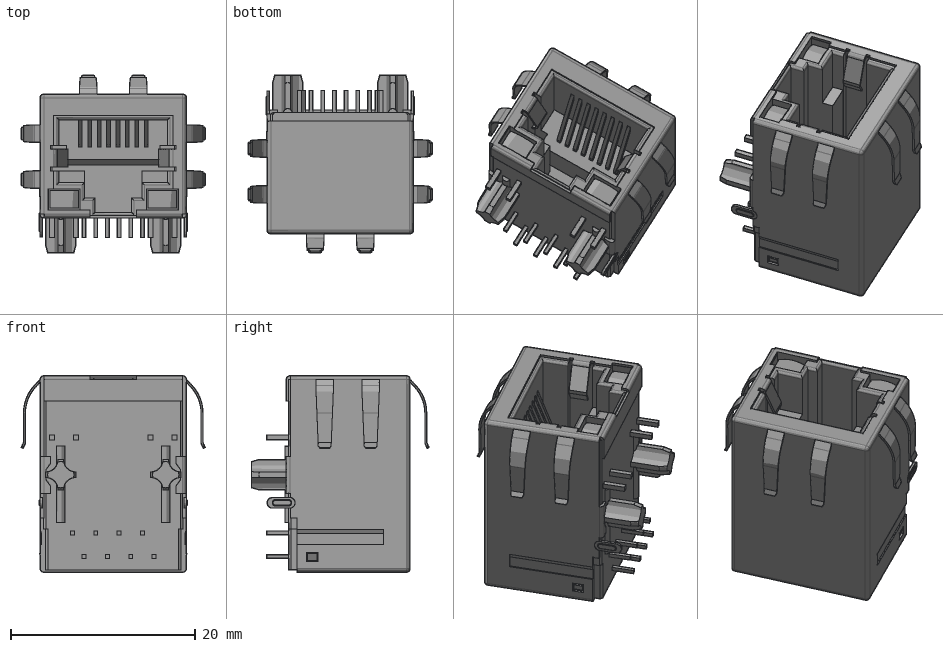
import cadquery as cq
import math


SHELL_HALF_WIDTH = 7.95
SHELL_BACK = 13.2
SHELL_HEIGHT = 21.35
SHELL_FRONT = 0.18
SHELL_GAUGE = 0.25
SHELL_RADIUS = 0.42
LOWER_STEP_Y = 0.93
LOWER_STEP_Z = 5.9
LIP_FRONT = -0.27
LIP_HALF_WIDTH = 7.5
LIP_BOTTOM = 18.6
LIP_NOTCH_HALF_WIDTH = 2.52
LIP_NOTCH_DEPTH = 0.4

RIM_Z = SHELL_HEIGHT - SHELL_GAUGE
HOUSING_BOTTOM = 0.27
UPPER_HALF_WIDTH = 7.58
LOWER_HALF_WIDTH = 7.35
LOWER_TOP = 4.72
HOUSING_CHAMFER = 0.25

CAVITY_HALF_WIDTH = 5.9
CAVITY_BACK = 10.4
LIGHT_WALL_Y = 3.6
LATCH_HALF_WIDTH = 3.1
LATCH_STEP_Y = 1.9
LATCH_TIP_HALF_WIDTH = 2.0
CAVITY_FRONT = 0.35
RIM_RADIUS = 0.27
SHELF_Z = 16.0
SHELF_BACK = 4.83
FLOOR_HIGH = 10.5
FLOOR_LOW = 8.0
FLOOR_SLOPE_BACK = 6.09
FLOOR_SLOPE_FRONT = 5.47

OPENING_HALF_WIDTH = 6.5
OPENING_BACK = 10.88
LIGHT_OPENING_BACK = 2.9
LIGHT_OPENING_FRONT = 0.62
LIGHT_OPENING_OUTER = 7.08

LIGHT_X = (3.62, 7.03)
LIGHT_Y = (0.62, 2.9)
LIGHT_POCKET_DEPTH = 2.0
LIGHT_GAP = 0.18
LIGHT_CROWN_DROP = 0.3
LIGHT_SAG = 0.35

CONTACT_COUNT = 8
CONTACT_PITCH = 1.02
CONTACT_WIDTH = 0.4
CONTACT_TOP_Z = 18.5
CONTACT_TIP_Y = 7.43
CONTACT_TIP_Z = 11.0
CONTACT_THICKNESS = 0.3

SPRING_Y = (5.25, 7.23)
SPRING_SLOT_WIDTH = 0.39
SPRING_SLOT_OUTER = 6.8
SPRING_TIP_X = 4.94
SPRING_TIP_Z = 18.4
SPRING_TIP_HEIGHT = 0.4
SPRING_RETURN_DROP = 0.9
SPRING_RETURN_OUT = 0.5
SPRING_RECESS_INNER = 5.08
SPRING_RECESS_OUTER = 6.67

FINGER_REACH = 2.05
FINGER_GAUGE = 0.22
FINGER_ARC_START = (0.45, 20.15)
FINGER_ARC_END_Z = 17.3
FINGER_STRAIGHT_OUT = 1.8
FINGER_KICK_Z = 14.0
FINGER_TIP_Z = 13.45
FINGER_HALF_WIDTHS = {"root": 0.96, "kick": 0.7, "tip": 0.5}
SIDE_FINGER_Y = (3.91, 8.9)
BACK_FINGER_X = 2.72

PEG_X = 5.7
PEG_Z = 10.6
PEG_LENGTH = 4.05
PEG_REACH = 1.65
PEG_ARM_HALF_WIDTH = 0.3
PEG_TIP_REACH = 1.42
PEG_TAPER_LENGTH = 0.9
RIB_Z = (5.4, 13.7)
RIB_WIDTH = 0.94
RIB_HEIGHT = 0.42
PIN_LENGTH = 2.4
LIGHT_PIN_SIZE = 0.54
LIGHT_PIN_Z = 14.65
LIGHT_PIN_X = (4.07, 6.64)
SIGNAL_PIN_SIZE = 0.42
SIGNAL_PIN_PITCH = 2.54
SIGNAL_PINS_PER_ROW = 4
SIGNAL_ROW_SHIFT = SIGNAL_PIN_PITCH / 4
SIGNAL_ROW_Z = {-1: 4.28, 1: 1.72}

CLIP_Z = (8.56, 12.6)
CLIP_INNER_X = 6.8
CLIP_WAIST_X = 7.3
CLIP_WAIST_HALF_HEIGHT = 0.55
CLIP_SHOULDER_HALF_HEIGHT = 1.25
LEG_Y = (-2.35, 0.69)
LEG_Z = (6.96, 8.13)
LEG_X = (7.7, 7.98)
LEG_BEAD_Y = (-1.85, 0.4)
LEG_BEAD_Z = (7.14, 7.96)
LEG_BEAD_X = 8.06
LEG_BEAD_CHAMFER = 0.15

GROOVE_BACK = 10.28
GROOVE_Z = (3.04, 4.22, 4.64)
GROOVE_DEPTH = 0.16
LATCH_WINDOW_Y = (1.95, 3.19)
LATCH_WINDOW_Z = (1.17, 2.14)
LATCH_GAP = 0.12
LATCH_PROUD = 0.07


def box(x, y, z):
    """Box from (low, high) pairs along each axis."""
    size = (x[1] - x[0], y[1] - y[0], z[1] - z[0])
    return cq.Workplane("XY").box(*size, centered=False).translate((x[0], y[0], z[0]))


def prism_along_y(points, y):
    """Prism with an (x, z) outline between two Y values."""
    outline = cq.Workplane("XZ", origin=(0, y[0], 0)).polyline(points).close()
    return outline.extrude(y[0] - y[1])


def prism_along_x(points, x):
    """Prism with a (y, z) outline between two X values."""
    outline = cq.Workplane("YZ", origin=(x[0], 0, 0)).polyline(points).close()
    return outline.extrude(x[1] - x[0])


def both_sides(solid):
    """The solid together with its mirror image across X = 0."""
    return solid.union(solid.mirror("YZ"))


def mirrored_outline(right_points):
    return right_points + [(-x, y) for x, y in reversed(right_points)]


def make_shell():
    half = SHELL_HALF_WIDTH
    shell = box((-half, half), (SHELL_FRONT, SHELL_BACK), (0, SHELL_HEIGHT))
    shell = shell.edges("|Z and >Y").fillet(SHELL_RADIUS)
    shell = shell.faces("<Z or >Z").edges("not <Y").fillet(SHELL_RADIUS)
    shell = shell.cut(box((-half, half), (SHELL_FRONT, LOWER_STEP_Y), (0, LOWER_STEP_Z)))
    return shell.union(make_lip())


def make_lip():
    """Metal folded from the shell top down over the board face."""
    lip_x = (-LIP_HALF_WIDTH, LIP_HALF_WIDTH)
    flap = box(lip_x, (LIP_FRONT, 0), (LIP_BOTTOM, SHELL_HEIGHT))
    fold = box(lip_x, (0, LOWER_STEP_Y), (SHELL_HEIGHT - SHELL_RADIUS, SHELL_HEIGHT))
    return flap.union(fold).edges(">Z and <Y").fillet(SHELL_RADIUS)


def shell_opening():
    outline = mirrored_outline([
        (OPENING_HALF_WIDTH, OPENING_BACK),
        (OPENING_HALF_WIDTH, LIGHT_OPENING_BACK),
        (LIGHT_OPENING_OUTER, LIGHT_OPENING_BACK),
        (LIGHT_OPENING_OUTER, LIGHT_OPENING_FRONT),
        (LIP_NOTCH_HALF_WIDTH, LIGHT_OPENING_FRONT),
        (LIP_NOTCH_HALF_WIDTH, 0),
    ])
    opening = cq.Workplane("XY").workplane(offset=RIM_Z).polyline(outline).close().extrude(SHELL_GAUGE)
    notch = box(
        (-LIP_NOTCH_HALF_WIDTH, LIP_NOTCH_HALF_WIDTH),
        (LIP_FRONT, 0),
        (SHELL_HEIGHT - LIP_NOTCH_DEPTH, SHELL_HEIGHT),
    )
    slots = [
        (SPRING_Y[0] - SPRING_SLOT_WIDTH, SPRING_Y[0]),
        (SPRING_Y[1], SPRING_Y[1] + SPRING_SLOT_WIDTH),
    ]
    for slot_y in slots:
        slot = box((CAVITY_HALF_WIDTH, SPRING_SLOT_OUTER), slot_y, (RIM_Z, SHELL_HEIGHT))
        opening = opening.union(both_sides(slot))
    return opening.union(notch)


def make_board_face():
    def slab(half_width, z):
        block = box((-half_width, half_width), (0, LOWER_STEP_Y), z)
        return block.edges("|Z and <Y").chamfer(HOUSING_CHAMFER)

    lower = slab(LOWER_HALF_WIDTH, (HOUSING_BOTTOM, LOWER_TOP))
    return lower.union(slab(UPPER_HALF_WIDTH, (LOWER_TOP, RIM_Z)))


def plug_cavity():
    right_wall = [
        (CAVITY_HALF_WIDTH, CAVITY_BACK),
        (CAVITY_HALF_WIDTH, LIGHT_WALL_Y),
        (LATCH_HALF_WIDTH, LIGHT_WALL_Y),
        (LATCH_HALF_WIDTH, LATCH_STEP_Y),
        (LATCH_TIP_HALF_WIDTH, LATCH_STEP_Y),
        (LATCH_TIP_HALF_WIDTH, CAVITY_FRONT),
    ]
    outline = mirrored_outline(right_wall)
    cavity = cq.Workplane("XY").workplane(offset=FLOOR_LOW).polyline(outline).close()
    cavity = cavity.extrude(SHELL_HEIGHT - FLOOR_LOW)

    shelf = box((LATCH_HALF_WIDTH, CAVITY_HALF_WIDTH), (LIGHT_WALL_Y, SHELF_BACK), (FLOOR_LOW, SHELF_Z))
    raised_floor = prism_along_x(
        [
            (FLOOR_SLOPE_FRONT, FLOOR_LOW),
            (CAVITY_BACK, FLOOR_LOW),
            (CAVITY_BACK, FLOOR_HIGH),
            (FLOOR_SLOPE_BACK, FLOOR_HIGH),
        ],
        (-CAVITY_HALF_WIDTH, CAVITY_HALF_WIDTH),
    )
    return cavity.cut(both_sides(shelf)).cut(raised_floor)


def rim_space():
    outer = LIGHT_OPENING_OUTER
    return box((-outer, outer), (0, OPENING_BACK), (RIM_Z - LIGHT_POCKET_DEPTH, RIM_Z))


def make_cavity_rim():
    """Plastic block under the shell top, with the cavity mouth rounded over."""
    block = rim_space().cut(plug_cavity())
    mouth = block.faces(">Z").wires(cq.selectors.AreaNthSelector(0))
    return block.newObject(mouth.vals()).edges().fillet(RIM_RADIUS)


def spring_recess():
    """Pocket on the +X side that the grounding spring folds into."""
    recess_y = (SPRING_Y[0] - SPRING_SLOT_WIDTH, SPRING_Y[1] + SPRING_SLOT_WIDTH)
    return box((SPRING_RECESS_INNER, SPRING_RECESS_OUTER), recess_y, (FLOOR_LOW, RIM_Z))


def make_contacts():
    top_y = CAVITY_BACK + CONTACT_THICKNESS
    wire_outline = [
        (top_y, CONTACT_TOP_Z),
        (CAVITY_BACK, CONTACT_TOP_Z),
        (CONTACT_TIP_Y, CONTACT_TIP_Z),
        (CONTACT_TIP_Y, FLOOR_HIGH),
        (CONTACT_TIP_Y + CONTACT_THICKNESS, FLOOR_HIGH),
        (top_y, CONTACT_TOP_Z - CONTACT_THICKNESS),
    ]
    wire = prism_along_x(wire_outline, (-CONTACT_WIDTH / 2, CONTACT_WIDTH / 2))
    contacts = cq.Workplane("XY")
    for index in range(CONTACT_COUNT):
        x = (index - (CONTACT_COUNT - 1) / 2) * CONTACT_PITCH
        contacts = contacts.union(wire.translate((x, 0, 0)))
    return contacts


def make_grounding_spring():
    """Spring strip on the +X side, bent over the rim and folded back below its tip."""
    gauge = SHELL_GAUGE
    bend_x = OPENING_HALF_WIDTH - SHELL_RADIUS
    bend_z = SHELL_HEIGHT - SHELL_RADIUS
    arc_inset = SHELL_RADIUS * math.sqrt(0.5)
    flat_bottom = SPRING_TIP_Z - SPRING_TIP_HEIGHT
    return_x = SPRING_TIP_X + SPRING_RETURN_OUT
    return_z = flat_bottom - SPRING_RETURN_DROP
    return (
        cq.Workplane("XZ", origin=(0, SPRING_Y[1], 0))
        .moveTo(SPRING_SLOT_OUTER, SHELL_HEIGHT)
        .lineTo(OPENING_HALF_WIDTH, SHELL_HEIGHT)
        .threePointArc((OPENING_HALF_WIDTH - arc_inset, bend_z + arc_inset), (bend_x, bend_z))
        .lineTo(SPRING_TIP_X, SPRING_TIP_Z)
        .lineTo(SPRING_TIP_X, flat_bottom)
        .lineTo(return_x, return_z)
        .lineTo(return_x + gauge, return_z)
        .lineTo(SPRING_TIP_X + gauge, flat_bottom)
        .lineTo(SPRING_TIP_X + gauge, SPRING_TIP_Z)
        .lineTo(bend_x + gauge, bend_z)
        .lineTo(SPRING_SLOT_OUTER, bend_z)
        .close()
        .extrude(SPRING_Y[1] - SPRING_Y[0])
    )


def make_light():
    """Lens on the +X side with an arched top."""
    x_low = LIGHT_X[0] + LIGHT_GAP
    x_high = LIGHT_X[1] - LIGHT_GAP
    base_z = RIM_Z - LIGHT_POCKET_DEPTH
    crown_z = RIM_Z - LIGHT_CROWN_DROP
    edge_z = crown_z - LIGHT_SAG
    back = LIGHT_Y[1] - LIGHT_GAP
    front = LIGHT_Y[0] + LIGHT_GAP
    lens = (
        cq.Workplane("XZ", origin=(0, back, 0))
        .moveTo(x_low, base_z)
        .lineTo(x_low, edge_z)
        .threePointArc(((x_low + x_high) / 2, crown_z), (x_high, edge_z))
        .lineTo(x_high, base_z)
        .close()
        .extrude(back - front)
    )
    return lens


def light_pocket():
    return box(LIGHT_X, LIGHT_Y, (RIM_Z - LIGHT_POCKET_DEPTH, RIM_Z))


def make_finger():
    """Spring finger leaning out along +X from a wall at X = 0, centred on Y = 0."""
    outer = FINGER_STRAIGHT_OUT
    inner = outer - FINGER_GAUGE
    run = inner - FINGER_ARC_START[0]
    rise = FINGER_ARC_START[1] - FINGER_ARC_END_Z
    radius = (run ** 2 + rise ** 2) / (2 * run)
    outer_radius = radius + FINGER_GAUGE
    sweep = math.asin(rise / radius)

    def arc_point(r, angle):
        return (inner - radius + r * math.cos(angle), FINGER_ARC_END_Z + r * math.sin(angle))

    def root_height(r):
        """Height at which the straight root, tangent to the arc, meets the wall."""
        x, z = arc_point(r, sweep)
        return z + x / math.tan(sweep)

    root_low = root_height(radius)
    root_high = root_height(outer_radius)
    strip = (
        cq.Workplane("XZ", origin=(0, FINGER_HALF_WIDTHS["root"], 0))
        .moveTo(0, root_low)
        .lineTo(*arc_point(radius, sweep))
        .threePointArc(arc_point(radius, sweep / 2), (inner, FINGER_ARC_END_Z))
        .lineTo(inner, FINGER_KICK_Z)
        .lineTo(FINGER_REACH - FINGER_GAUGE, FINGER_TIP_Z)
        .lineTo(FINGER_REACH, FINGER_TIP_Z + FINGER_GAUGE / 2)
        .lineTo(outer, FINGER_KICK_Z + FINGER_GAUGE / 2)
        .lineTo(outer, FINGER_ARC_END_Z)
        .threePointArc(arc_point(outer_radius, sweep / 2), arc_point(outer_radius, sweep))
        .lineTo(0, root_high)
        .close()
        .extrude(2 * FINGER_HALF_WIDTHS["root"])
    )
    tip_corner_z = (FINGER_TIP_Z + FINGER_KICK_Z) / 2
    taper = mirrored_outline([
        (FINGER_HALF_WIDTHS["root"], SHELL_HEIGHT),
        (FINGER_HALF_WIDTHS["root"], FINGER_ARC_START[1]),
        (FINGER_HALF_WIDTHS["kick"], tip_corner_z),
        (FINGER_HALF_WIDTHS["tip"], FINGER_TIP_Z),
    ])
    strip = strip.intersect(prism_along_x(taper, (0, FINGER_REACH)))
    root = box(
        (-SHELL_GAUGE, 0),
        (-FINGER_HALF_WIDTHS["root"], FINGER_HALF_WIDTHS["root"]),
        (root_low, root_high),
    )
    return strip.union(root)


def make_fingers():
    finger = make_finger()
    back_finger = finger.rotate((0, 0, 0), (0, 0, 1), 90)
    fingers = both_sides(back_finger.translate((BACK_FINGER_X, SHELL_BACK, 0)))
    for y in SIDE_FINGER_Y:
        fingers = fingers.union(both_sides(finger.translate((SHELL_HALF_WIDTH, y, 0))))
    return fingers


def make_peg():
    """Four-armed board peg on the +X side, standing on a rounded rib."""
    arm = PEG_ARM_HALF_WIDTH
    reach = PEG_REACH
    diagonal = reach - (reach - arm) / math.sqrt(2)
    outline = cq.Workplane("XZ").moveTo(arm, reach)
    for turn in range(4):
        angle = -math.pi / 2 * turn
        cosine = math.cos(angle)
        sine = math.sin(angle)

        def turned(x, z):
            return (x * cosine - z * sine, x * sine + z * cosine)

        outline = outline.threePointArc(turned(diagonal, diagonal), turned(reach, arm))
        outline = outline.lineTo(*turned(reach, -arm))
    star = outline.close().extrude(PEG_LENGTH)

    envelope_radius = math.hypot(reach, arm)
    envelope = (
        cq.Workplane("XY")
        .polyline([
            (0, 0),
            (envelope_radius, 0),
            (envelope_radius, PEG_TAPER_LENGTH - PEG_LENGTH),
            (PEG_TIP_REACH, -PEG_LENGTH),
            (0, -PEG_LENGTH),
        ])
        .close()
        .revolve(360, (0, 0, 0), (0, 1, 0))
    )
    peg = star.intersect(envelope).translate((PEG_X, 0, PEG_Z))

    rib = (
        cq.Workplane("XY", origin=(PEG_X, 0, RIB_Z[0]))
        .moveTo(-RIB_WIDTH / 2, 0)
        .threePointArc((0, -RIB_HEIGHT), (RIB_WIDTH / 2, 0))
        .close()
        .extrude(RIB_Z[1] - RIB_Z[0])
    )
    return peg.union(rib)


def make_pin(x, z, size):
    half = size / 2
    return box((x - half, x + half), (-PIN_LENGTH, LOWER_STEP_Y), (z - half, z + half))


def make_pins():
    pins = cq.Workplane("XY")
    for x in LIGHT_PIN_X:
        pins = pins.union(both_sides(make_pin(x, LIGHT_PIN_Z, LIGHT_PIN_SIZE)))
    for direction, z in SIGNAL_ROW_Z.items():
        for index in range(SIGNAL_PINS_PER_ROW):
            x = (index - (SIGNAL_PINS_PER_ROW - 1) / 2) * SIGNAL_PIN_PITCH
            pins = pins.union(make_pin(x + direction * SIGNAL_ROW_SHIFT, z, SIGNAL_PIN_SIZE))
    return pins


def make_clip():
    """Folded shell clip on the +X side with a waist clearing the peg."""
    clip = prism_along_y(
        [
            (SHELL_HALF_WIDTH, CLIP_Z[1]),
            (CLIP_INNER_X, CLIP_Z[1]),
            (CLIP_INNER_X, PEG_Z + CLIP_SHOULDER_HALF_HEIGHT),
            (CLIP_WAIST_X, PEG_Z + CLIP_WAIST_HALF_HEIGHT),
            (CLIP_WAIST_X, PEG_Z - CLIP_WAIST_HALF_HEIGHT),
            (CLIP_INNER_X, PEG_Z - CLIP_SHOULDER_HALF_HEIGHT),
            (CLIP_INNER_X, CLIP_Z[0]),
            (SHELL_HALF_WIDTH, CLIP_Z[0]),
        ],
        (LIP_FRONT, SHELL_FRONT),
    )
    return clip.edges("|Z and <Y and >X").fillet(SHELL_RADIUS)


def capsule(x, y, z):
    """Plate with fully rounded ends along Y."""
    centre = (x[0], (y[0] + y[1]) / 2, (z[0] + z[1]) / 2)
    outline = cq.Workplane("YZ", origin=centre).slot2D(y[1] - y[0], z[1] - z[0])
    return outline.extrude(x[1] - x[0])


def make_leg():
    """Ground leg on the +X side with a raised bead."""
    bead = capsule((LEG_X[0], LEG_BEAD_X), LEG_BEAD_Y, LEG_BEAD_Z)
    bead = bead.faces(">X").chamfer(LEG_BEAD_CHAMFER)
    return capsule(LEG_X, LEG_Y, LEG_Z).union(bead)


def side_groove():
    bottom, foot, top = GROOVE_Z
    floor = SHELL_HALF_WIDTH - GROOVE_DEPTH
    outline = [(SHELL_HALF_WIDTH, bottom), (floor, bottom), (floor, foot), (SHELL_HALF_WIDTH, top)]
    return prism_along_y(outline, (LOWER_STEP_Y, GROOVE_BACK))


def latch_window():
    return box((SHELL_HALF_WIDTH - SHELL_GAUGE, SHELL_HALF_WIDTH), LATCH_WINDOW_Y, LATCH_WINDOW_Z)


def make_latch():
    """Wedge in the side window, proud of the shell at its upper edge."""
    base = SHELL_HALF_WIDTH - SHELL_GAUGE
    top = LATCH_WINDOW_Z[1] - LATCH_GAP
    outline = [(base, LATCH_WINDOW_Z[0] + LATCH_GAP), (SHELL_HALF_WIDTH + LATCH_PROUD, top), (base, top)]
    return prism_along_y(outline, (LATCH_WINDOW_Y[0] + LATCH_GAP, LATCH_WINDOW_Y[1] - LATCH_GAP))


body = make_shell().union(make_board_face()).cut(plug_cavity()).cut(rim_space()).union(make_cavity_rim())
for cutter in (
    shell_opening(),
    both_sides(spring_recess()),
    both_sides(light_pocket()),
    both_sides(side_groove()),
    both_sides(latch_window()),
):
    body = body.cut(cutter)

for addition in (
    make_contacts(),
    both_sides(make_grounding_spring()),
    both_sides(make_light()),
    make_fingers(),
    both_sides(make_peg()),
    make_pins(),
    both_sides(make_clip()),
    both_sides(make_leg()),
    both_sides(make_latch()),
):
    body = body.union(addition)

result = body